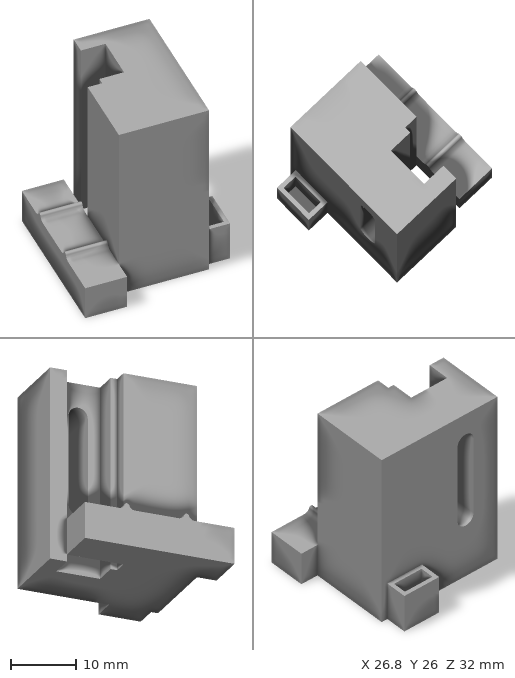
import cadquery as cq
import math

block_width = 23.5
block_depth = 15.0
block_height = 32.0

cheek_thickness = 2.8
channel_width = 7.3
channel_floor_depth = 8.5
step_right = 11.2
step_depth = 12.6

slot_width = 3.2
slot_center_x = cheek_thickness + channel_width / 2
slot_bottom = 10.0
slot_top = 28.0

bar_left = 1.75
bar_length = 25.0
bar_depth = 6.98
bar_height = 6.0

rib_centers = (8.77, 18.75)
rib_height = 1.0
rib_tip_radius = 0.4
rib_root_radius = 1.0

box_left = 15.3
box_width = 7.05
box_depth = 4.0
box_height = 7.0
box_wall = 0.75


def make_block():
    channel_right = cheek_thickness + channel_width
    outline = [
        (0, 0),
        (block_width, 0),
        (block_width, -block_depth),
        (step_right, -block_depth),
        (step_right, -step_depth),
        (channel_right, -step_depth),
        (channel_right, -channel_floor_depth),
        (cheek_thickness, -channel_floor_depth),
        (cheek_thickness, -step_depth),
        (0, -step_depth),
    ]
    return cq.Workplane("XY").polyline(outline).close().extrude(block_height)


def make_slot():
    return (
        cq.Workplane("XZ")
        .center(slot_center_x, (slot_bottom + slot_top) / 2)
        .slot2D(slot_top - slot_bottom, slot_width, 90)
        .extrude(channel_floor_depth)
    )


def make_bar():
    return (
        cq.Workplane("XY")
        .box(bar_length, bar_depth, bar_height, centered=False)
        .translate((bar_left, -block_depth - bar_depth, 0))
    )


def make_rib(center_x):
    tip_center_z = rib_height - rib_tip_radius
    rise = rib_root_radius - tip_center_z
    reach = rib_root_radius + rib_tip_radius
    half_width = math.sqrt(reach**2 - rise**2)
    join_x = half_width * rib_tip_radius / reach
    join_z = tip_center_z + rise * rib_tip_radius / reach

    root_angle = math.atan2(half_width, rise) / 2
    root_mid_x = half_width - rib_root_radius * math.sin(root_angle)
    root_mid_z = rib_root_radius * (1 - math.cos(root_angle))

    return (
        cq.Workplane("XZ", origin=(center_x, -block_depth, bar_height))
        .moveTo(-half_width, 0)
        .threePointArc((-root_mid_x, root_mid_z), (-join_x, join_z))
        .threePointArc((0, rib_height), (join_x, join_z))
        .threePointArc((root_mid_x, root_mid_z), (half_width, 0))
        .close()
        .extrude(bar_depth)
    )


def make_box():
    shell = cq.Workplane("XY").box(box_width, box_depth, box_height, centered=False)
    cavity = (
        cq.Workplane("XY")
        .box(box_width - 2 * box_wall, box_depth - 2 * box_wall, box_height - box_wall, centered=False)
        .translate((box_wall, box_wall, box_wall))
    )
    return shell.cut(cavity).translate((box_left, 0, 0))


result = make_block().cut(make_slot()).union(make_bar()).union(make_box())
for rib_center in rib_centers:
    result = result.union(make_rib(rib_center))